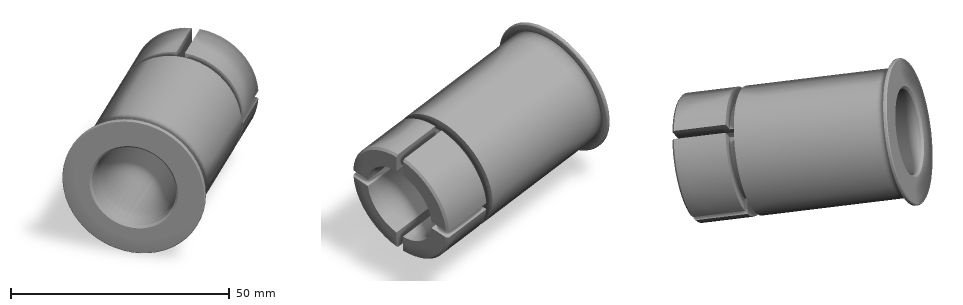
import cadquery as cq

total_length = 52.5
flange_diameter = 34.0
flange_thickness = 1.0
flange_edge_chamfer = 0.2
body_diameter = 30.05
bore_diameter = 20.0
bore_chamfer = 0.5

head_diameter = body_diameter
head_length = 13.0
head_chamfer = 0.5
groove_diameter = 24.0
groove_width = 2.0
slot_width = 2.0

head_start = total_length - head_length
body_end = head_start - groove_width


def cylinder(diameter, start, end):
    """Solid cylinder on the Y axis between two Y positions."""
    return cq.Workplane("XZ", origin=(0, start, 0)).circle(diameter / 2).extrude(start - end)


def make_sleeve():
    flange = cylinder(flange_diameter, 0, flange_thickness).edges().chamfer(flange_edge_chamfer)
    body = cylinder(body_diameter, 0, body_end)
    neck = cylinder(groove_diameter, 0, total_length)
    head = cylinder(head_diameter, head_start, total_length).faces(">Y").edges().chamfer(head_chamfer)
    return flange.union(body).union(neck).union(head)


def cut_bore(sleeve):
    bored = sleeve.cut(cylinder(bore_diameter, 0, total_length))
    return bored.faces("<Y").edges("%CIRCLE").edges(cq.selectors.RadiusNthSelector(0)).chamfer(bore_chamfer)


def cut_slots(sleeve):
    """Two crossing slots that divide the head and neck into four fingers."""
    slot_length = total_length - body_end
    slot_center = (0, body_end + slot_length / 2, 0)
    for width, height in ((slot_width, flange_diameter), (flange_diameter, slot_width)):
        slot = cq.Workplane("XY").box(width, slot_length, height).translate(slot_center)
        sleeve = sleeve.cut(slot)
    return sleeve


result = cut_slots(cut_bore(make_sleeve()))